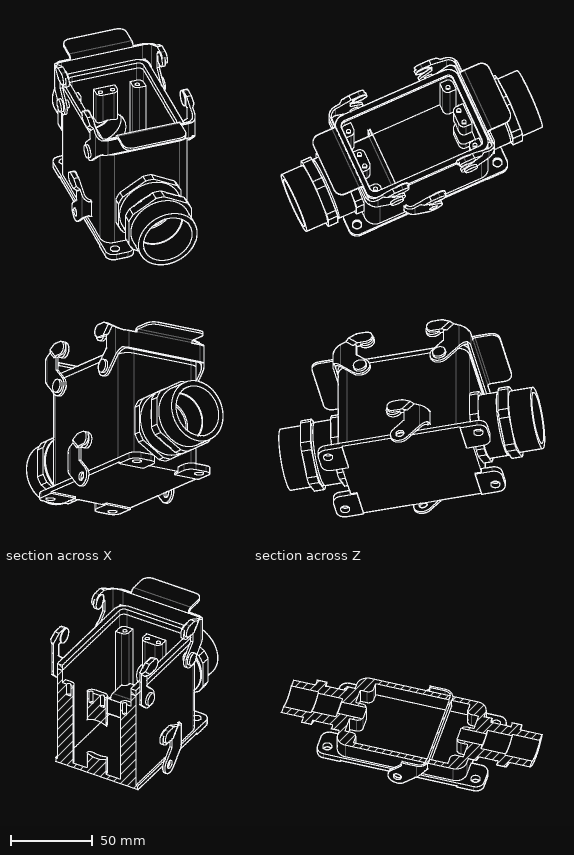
import cadquery as cq
import math

BODY_X = 82.2
BODY_Y = 56.0
CORNER_R = 7.0
WALL = 3.6
BODY_BOTTOM = 1.0
SEAL_BOTTOM = 71.0
RIM_Z = 74.7
CAVITY_X = BODY_X - 2 * WALL
CAVITY_Y = BODY_Y - 2 * WALL
CAVITY_R = CORNER_R - WALL
FLOOR_Z = BODY_BOTTOM + WALL

BASE_TOP = 4.0
BASE_Y = 58.6
FOOT_END_X = 53.0
FOOT_START_X = 37.0
FOOT_WIDTH = 17.9
FOOT_R = 5.2
FOOT_HOLE_D = 5.5
FOOT_HOLE_X = 47.1
FOOT_HOLE_Y = 22.9

POST_TOP = 61.8
POST_DEPTH = 7.6
POST_R = 3.3
MIDDLE_POST_Y = 13.7
POST_HOLE_D = 2.5
POST_HOLE_DEPTH = 7.9
POST_HOLE_X = 33.3
CORNER_HOLE_Y = 19.9
MIDDLE_HOLE_Y = 4.0

GLAND_Z = 28.0
GLAND_END_X = 79.0
HEX_FLATS = 40.6
HEX_CORNER_D = 44.1
OUTER_HEX_END_X = 65.1
OUTER_HEX_START_X = 58.8
NECK_START_X = 57.5
INNER_HEX_END_X = 46.1
TUBE_D = 38.0
NECK_D = 39.0
COLLAR_D = 39.3
MOUTH_D = 31.5
MOUTH_START_X = 61.6
GLAND_BORE_D = 30.3
WALL_BORE_D = 28.0

PIVOT_X = 24.8
PIVOT_Z = 65.0
PIN_D = 4.9
PIN_HEAD_D = 8.0

SHEET = 1.6
LEVER_Y = 64.3
LEVER_BEND_R = 6.0
PLATE_X = 18.3
PLATE_BOTTOM = 8.4
PLATE_TOP = 19.3
PIVOT_END_R = 6.0
PIVOT_HOLE_D = 5.0
ARM_INNER_X = 2.5
SLOPE_FOOT_X = 17.2
SLOPE_TOP_X = 2.0
HOOK_TOP = 27.3
HOOK_CENTER_X = -3.8
PAD_HEIGHT = 1.6
PAD_BASE_X = 4.7
PAD_FACE_X = 1.5
DISC_D = 9.5
DISC_Z = 22.1
DISC_PROUD = 0.5
HANDLE_END_X = 34.1
HANDLE_TOP = 22.3
HANDLE_Y = 40.6
HANDLE_CORNER_R = 5.2
HANDLE_BEND_R = 1.3

THIRD_PIVOT_X = 0.0
THIRD_PIVOT_Z = 1.0

LEVER_OUTER_Y = LEVER_Y / 2
LEVER_INNER_Y = LEVER_OUTER_Y - SHEET
HOOK_OUTER_Y = LEVER_OUTER_Y + PAD_HEIGHT
HOOK_R = (HOOK_TOP - PLATE_TOP) / 2
HOOK_TIP_X = HOOK_CENTER_X - HOOK_R
ARM_SLOPE = (HOOK_TOP - PLATE_TOP) / (SLOPE_FOOT_X - SLOPE_TOP_X)
COS_45 = math.sqrt(0.5)


def block(x0, x1, y0, y1, z0, z1):
    """Box between two opposite corners."""
    return cq.Workplane("XY").box(x1 - x0, y1 - y0, z1 - z0, centered=False).translate((x0, y0, z0))


def rounded_block(size_x, size_y, radius, z0, z1):
    """Centred box with rounded vertical edges."""
    return block(-size_x / 2, size_x / 2, -size_y / 2, size_y / 2, z0, z1).edges("|Z").fillet(radius)


def cylinder_x(diameter, x0, x1):
    """Cylinder on the gland axis."""
    return cq.Workplane("YZ", origin=(x0, 0, GLAND_Z)).circle(diameter / 2).extrude(x1 - x0)


def cylinder_y(diameter, x, z, y0, y1):
    """Cylinder parallel to Y."""
    return cq.Workplane("XZ", origin=(x, y0, z)).circle(diameter / 2).extrude(y0 - y1)


def in_four_quadrants(solid):
    """The solid of the +X +Y quadrant and its mirror images, joined."""
    both_ends = solid.union(solid.mirror("YZ"))
    return both_ends.union(both_ends.mirror("XZ"))


def feet():
    foot = block(FOOT_START_X, FOOT_END_X, BASE_Y / 2 - FOOT_WIDTH, BASE_Y / 2, 0, BASE_TOP)
    foot = foot.edges("|Z and >X").fillet(FOOT_R)
    foot = foot.cut(
        cq.Workplane("XY").center(FOOT_HOLE_X, FOOT_HOLE_Y).circle(FOOT_HOLE_D / 2).extrude(BASE_TOP)
    )
    return in_four_quadrants(foot)


def posts():
    """Corner posts and double middle posts on both end walls."""
    post_x = CAVITY_X / 2 - POST_DEPTH
    wall_x = CAVITY_X / 2 + WALL / 2
    corner_y = CAVITY_Y / 2 - POST_DEPTH
    corner_post = block(post_x, wall_x, corner_y, CAVITY_Y / 2 + WALL / 2, BODY_BOTTOM, POST_TOP)
    corner_post = corner_post.edges("|Z and <X and <Y").fillet(POST_R)
    middle_post = block(post_x, wall_x, -MIDDLE_POST_Y / 2, MIDDLE_POST_Y / 2, BODY_BOTTOM, POST_TOP)
    middle_post = middle_post.edges("|Z and <X").fillet(POST_R)
    joined = in_four_quadrants(corner_post).union(middle_post).union(middle_post.mirror("YZ"))
    joined = joined.intersect(rounded_block(BODY_X, BODY_Y, CORNER_R, BODY_BOTTOM, POST_TOP))
    hole_points = [
        (side * POST_HOLE_X, y)
        for side in (-1, 1)
        for y in (-CORNER_HOLE_Y, -MIDDLE_HOLE_Y, MIDDLE_HOLE_Y, CORNER_HOLE_Y)
    ]
    holes = (
        cq.Workplane("XY", origin=(0, 0, POST_TOP))
        .pushPoints(hole_points)
        .circle(POST_HOLE_D / 2)
        .extrude(-POST_HOLE_DEPTH)
    )
    return joined.cut(holes)


def hex_nut(x0, x1):
    """Hexagon with flats toward +Y and -Y and turned corners."""
    hexagon = (
        cq.Workplane("YZ", origin=(x0, 0, GLAND_Z))
        .polygon(6, HEX_FLATS / math.cos(math.pi / 6))
        .extrude(x1 - x0)
        .rotate((0, 0, GLAND_Z), (1, 0, GLAND_Z), 30)
    )
    return hexagon.intersect(cylinder_x(HEX_CORNER_D, x0, x1))


def gland():
    """Stepped cable gland on the +X end, not yet bored."""
    return (
        hex_nut(BODY_X / 2, INNER_HEX_END_X)
        .union(cylinder_x(COLLAR_D, INNER_HEX_END_X, NECK_START_X))
        .union(cylinder_x(NECK_D, NECK_START_X, OUTER_HEX_START_X))
        .union(hex_nut(OUTER_HEX_START_X, OUTER_HEX_END_X))
        .union(cylinder_x(TUBE_D, OUTER_HEX_END_X, GLAND_END_X))
    )


def gland_bore():
    """Stepped passage out through the middle post, the end wall and the +X gland."""
    return (
        cylinder_x(WALL_BORE_D, CAVITY_X / 2 - POST_DEPTH, INNER_HEX_END_X)
        .union(cylinder_x(GLAND_BORE_D, INNER_HEX_END_X, MOUTH_START_X))
        .union(cylinder_x(MOUTH_D, MOUTH_START_X, GLAND_END_X))
    )


def pivot_pins():
    """Headed pins that carry the two upper levers, with heads flush with the hook pads."""
    shank = cylinder_y(PIN_D, PIVOT_X, PIVOT_Z, BODY_Y / 2, LEVER_OUTER_Y)
    head = cylinder_y(PIN_HEAD_D, PIVOT_X, PIVOT_Z, LEVER_OUTER_Y, HOOK_OUTER_Y)
    return in_four_quadrants(shank.union(head))


def make_housing():
    body = rounded_block(BODY_X, BODY_Y, CORNER_R, BODY_BOTTOM, SEAL_BOTTOM)
    body = body.union(
        block(-FOOT_START_X, FOOT_START_X, -BASE_Y / 2, BASE_Y / 2, BODY_BOTTOM, BASE_TOP)
    )
    body = body.union(feet())
    body = body.cut(rounded_block(CAVITY_X, CAVITY_Y, CAVITY_R, FLOOR_Z, SEAL_BOTTOM))
    body = body.union(posts()).union(gland()).union(gland().mirror("YZ"))
    body = body.cut(gland_bore()).cut(gland_bore().mirror("YZ"))
    return body.union(pivot_pins())


def make_seal():
    opening = rounded_block(CAVITY_X, CAVITY_Y, CAVITY_R, SEAL_BOTTOM, RIM_Z)
    return rounded_block(BODY_X, BODY_Y, CORNER_R, SEAL_BOTTOM, RIM_Z).cut(opening)


def slope_z(x):
    """Height of the sloping upper edge of the arm at x."""
    return HOOK_TOP - ARM_SLOPE * (x - SLOPE_TOP_X)


def lever_side_outline():
    """Side outline of arm, hook and cross plate, extruded over the lever width."""
    tangent = PIVOT_END_R * COS_45
    return (
        cq.Workplane("XZ", origin=(0, LEVER_OUTER_Y, 0))
        .moveTo(tangent, -tangent)
        .lineTo(2 * tangent + PLATE_BOTTOM, PLATE_BOTTOM)
        .lineTo(PLATE_X, PLATE_BOTTOM)
        .lineTo(PLATE_X, PLATE_TOP)
        .lineTo(SLOPE_FOOT_X, PLATE_TOP)
        .lineTo(SLOPE_TOP_X, HOOK_TOP)
        .lineTo(HOOK_CENTER_X, HOOK_TOP)
        .threePointArc((HOOK_TIP_X, HOOK_TOP - HOOK_R), (HOOK_CENTER_X, PLATE_TOP))
        .lineTo(ARM_INNER_X, PLATE_TOP)
        .lineTo(ARM_INNER_X, 2 * tangent + ARM_INNER_X)
        .lineTo(-tangent, tangent)
        .threePointArc((-tangent, -tangent), (tangent, -tangent))
        .close()
        .extrude(LEVER_Y)
    )


def bent_sheet():
    """U-shaped sheet in plan: two arms joined by the cross plate."""
    start_x = HOOK_TIP_X
    z0 = -PIVOT_END_R
    outside = block(start_x, PLATE_X, -LEVER_OUTER_Y, LEVER_OUTER_Y, z0, HOOK_TOP)
    outside = outside.edges("|Z and >X").fillet(LEVER_BEND_R)
    inside = block(start_x, PLATE_X - SHEET, -LEVER_INNER_Y, LEVER_INNER_Y, z0, HOOK_TOP)
    inside = inside.edges("|Z and >X").fillet(LEVER_BEND_R - SHEET)
    return outside.cut(inside)


def pad_section(workplane, lower_x):
    """Hook-shaped wire whose 45 degree edge starts at lower_x on the lower side."""
    upper_x = (HOOK_TOP - PLATE_TOP + lower_x + ARM_SLOPE * SLOPE_TOP_X) / (1 + ARM_SLOPE)
    return (
        workplane.moveTo(lower_x, PLATE_TOP)
        .lineTo(upper_x, slope_z(upper_x))
        .lineTo(SLOPE_TOP_X, HOOK_TOP)
        .lineTo(HOOK_CENTER_X, HOOK_TOP)
        .threePointArc((HOOK_TIP_X, HOOK_TOP - HOOK_R), (HOOK_CENTER_X, PLATE_TOP))
        .close()
    )


def hook_head():
    """Raised pad with a ramp outside the +Y arm, and the disc on its inner side."""
    base = pad_section(cq.Workplane("XZ", origin=(0, LEVER_OUTER_Y, 0)), PAD_BASE_X)
    pad = pad_section(base.workplane(offset=-PAD_HEIGHT), PAD_FACE_X).loft(ruled=True)
    disc = cylinder_y(DISC_D, HOOK_CENTER_X, DISC_Z, LEVER_INNER_Y - DISC_PROUD, LEVER_OUTER_Y)
    return pad.union(disc)


def handle():
    """Tab bent outward from the top of the cross plate."""
    bottom = HANDLE_TOP - SHEET
    outer_r = HANDLE_BEND_R + SHEET
    center_x = PLATE_X + HANDLE_BEND_R
    center_z = bottom - HANDLE_BEND_R
    tab = (
        cq.Workplane("XZ", origin=(0, HANDLE_Y / 2, 0))
        .moveTo(PLATE_X, PLATE_BOTTOM)
        .lineTo(PLATE_X, center_z)
        .threePointArc(
            (center_x - HANDLE_BEND_R * COS_45, center_z + HANDLE_BEND_R * COS_45),
            (center_x, bottom),
        )
        .lineTo(HANDLE_END_X, bottom)
        .lineTo(HANDLE_END_X, HANDLE_TOP)
        .lineTo(center_x, HANDLE_TOP)
        .threePointArc(
            (center_x - outer_r * COS_45, center_z + outer_r * COS_45),
            (PLATE_X - SHEET, center_z),
        )
        .lineTo(PLATE_X - SHEET, PLATE_BOTTOM)
        .close()
        .extrude(HANDLE_Y)
    )
    return tab.edges("|Z and >X").fillet(HANDLE_CORNER_R)


def make_lever(pivot_x, pivot_z, turn):
    """Lever turned about Z by the given angle and placed with its pivot axis at pivot_x, pivot_z."""
    lever = bent_sheet().intersect(lever_side_outline())
    lever = lever.union(hook_head()).union(hook_head().mirror("XZ")).union(handle())
    lever = lever.cut(cylinder_y(PIVOT_HOLE_D, 0, 0, -LEVER_OUTER_Y, LEVER_OUTER_Y))
    return lever.rotate((0, 0, 0), (0, 0, 1), turn).translate((pivot_x, 0, pivot_z))


levers = [
    make_lever(x, z, turn)
    for x, z, turn in (
        (-PIVOT_X, PIVOT_Z, 180),
        (PIVOT_X, PIVOT_Z, 0),
        (THIRD_PIVOT_X, THIRD_PIVOT_Z, 0),
    )
]
third_lever = levers[-1]

housing = make_housing().cut(third_lever)
seal = make_seal()

bodies = [housing, seal, *levers]
result = cq.Compound.makeCompound([body.solids().val() for body in bodies])